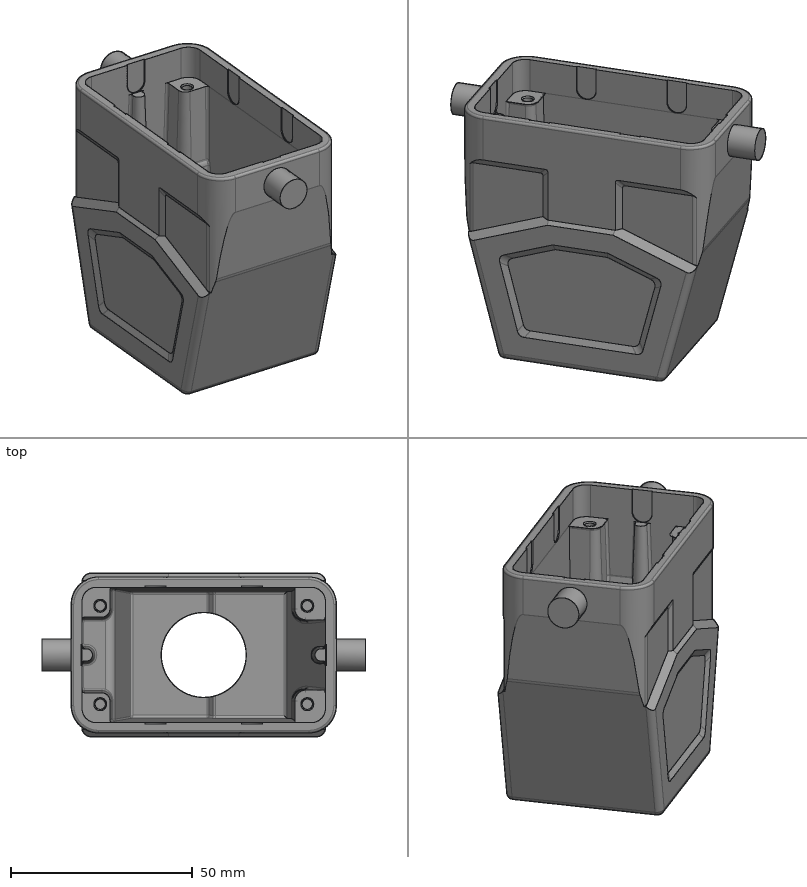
import cadquery as cq
import math

height = 72.0
collar_half_x = 36.5
collar_half_y = 21.45
collar_radius = 7.6
collar_base_z = 26.7
rim_rounding = 0.7

base_half_x = 24.1
kink_half_x = 34.5
kink_z = 40.05
kink_rounding = 5.3
collar_straight_z = 60.8
end_slope = (kink_half_x - base_half_x) / kink_z

block_half_y = 22.5
block_edge_radius = 2.05
block_base_radius = 1.8
roof_flat_half_x = 10.0
roof_z = 42.7
roof_slope = math.tan(math.radians(20.2))

recess_depth = 1.0
recess_bevel = 1.8
recess_edge_x = 9.9
recess_edge_z = 59.0
recess_plane_y = collar_half_y - recess_depth
recess_corner_radius = 1.8
recess_edge_rounding = 1.8

panel_depth = 1.0
panel_bevel = 1.8
panel_top_half_x = 8.0
panel_top_z = 37.0
panel_side_half_x = 24.0
panel_side_z = 31.15
panel_base_half_x = 18.0
panel_base_z = 7.7
panel_corner_radius = 4.45

pin_radius = 4.45
pin_z = 65.95
pin_tip_x = 44.5

mouth_half_x = 33.5
mouth_half_y = 18.6
mouth_radius = 3.8
ledge_z = 62.6
floor_half_y = 17.35
low_floor_z = 2.7
high_floor_z = 4.45
floor_step_x = (1.25, 2.85)
low_floor_end_x = -20.1
high_floor_end_x = 22.7
floor_rounding = 0.8
low_edges_z = 5.3
shelf_z = 40.9
shelf_edge_x = -24.65
shelf_rounding = 2.7
shelf_corner_rounding = 0.45
inner_rounding = 0.7
cable_hole_radius = 11.7

boss_edge_x = 25.8
boss_edge_y = 10.4
boss_radius = 2.2
boss_draft = 1.8
screw_x = 28.5
screw_y = 13.5
screw_radius = 1.4
screw_mouth_radius = 1.8
screw_depth = 13.35

rib_x = 32.3
rib_radius = 1.7
rib_draft = 2.0

slot_width = 5.7
slot_depth = 0.4
slot_x = 13.3

far = 2 * pin_tip_x


def both_long_sides(solid):
    """The solid together with its mirror image across the XZ plane."""
    return solid.union(solid.mirror("XZ"))


def near(x, y, z):
    """Selector for the edge whose middle is nearest to a point."""
    return cq.selectors.NearestToPointSelector((x, y, z))


def xz_prism(points, half_y):
    """Outline in X and Z, extruded to both sides of the XZ plane."""
    return cq.Workplane("XZ").polyline(points).close().extrude(half_y, both=True)


def xz_plane(y):
    """Sketch plane at -y, looking outward along -Y."""
    return cq.Workplane("XZ", origin=(0, -y, 0))


def make_collar():
    collar = (
        cq.Workplane("XY", origin=(0, 0, collar_base_z))
        .rect(2 * collar_half_x, 2 * collar_half_y)
        .extrude(height - collar_base_z)
        .edges("|Z").fillet(collar_radius)
    )
    bevel_angle = math.degrees(math.atan2(recess_bevel, recess_depth))
    for side in (-1, 1):
        recess = (
            xz_plane(collar_half_y)
            .moveTo(side * (recess_edge_x + far / 2), recess_edge_z - far / 2)
            .rect(far, far)
            .extrude(-recess_depth, taper=bevel_angle)
        )
        corner = near(side * recess_edge_x, -collar_half_y, recess_edge_z)
        recess = recess.edges("not #Y").edges(corner).fillet(recess_corner_radius)
        collar = collar.cut(both_long_sides(recess))
    crease_mid_z = (collar_base_z + recess_edge_z) / 2
    for side_x in (-1, 1):
        for side_y in (-1, 1):
            crease = near(side_x * collar_half_x, side_y * recess_plane_y, crease_mid_z)
            collar = collar.edges("|Z").edges(crease).fillet(recess_edge_rounding)
    collar = collar.faces(">Z").edges().fillet(rim_rounding)

    profile = [
        (-base_half_x, 0),
        (-kink_half_x, kink_z),
        (-collar_half_x, collar_straight_z),
        (-collar_half_x, height),
        (collar_half_x, height),
        (collar_half_x, collar_straight_z),
        (kink_half_x, kink_z),
        (base_half_x, 0),
    ]
    envelope = xz_prism(profile, far)
    for side in (-1, 1):
        kink = near(side * kink_half_x, 0, kink_z)
        envelope = envelope.edges(kink).fillet(kink_rounding)
    return collar.intersect(envelope)


def roof_outline(raise_by):
    """Region below the block's upper border, shifted up by raise_by."""
    end_drop = roof_slope * (far - roof_flat_half_x)
    return [
        (-far, -far),
        (-far, roof_z + raise_by - end_drop),
        (-roof_flat_half_x, roof_z + raise_by),
        (roof_flat_half_x, roof_z + raise_by),
        (far, roof_z + raise_by - end_drop),
        (far, -far),
    ]


def make_block():
    top_half_x = base_half_x + end_slope * height
    trapezoid = [(-base_half_x, 0), (-top_half_x, height), (top_half_x, height), (base_half_x, 0)]
    wedge = xz_prism(trapezoid, block_half_y)
    wedge = wedge.faces("<X or >X").edges("not |Y").fillet(block_edge_radius)
    wedge = wedge.faces("<Z").edges().fillet(block_base_radius)

    border = block_half_y - recess_plane_y
    below_roof = xz_prism(roof_outline(border), recess_plane_y)
    sloped_border = (
        xz_plane(recess_plane_y).polyline(roof_outline(border)).close().extrude(border, taper=45)
    )
    below_roof = below_roof.union(both_long_sides(sloped_border))
    return wedge.intersect(below_roof)


def make_panel():
    outline = [
        (-panel_base_half_x, panel_base_z),
        (-panel_side_half_x, panel_side_z),
        (-panel_top_half_x, panel_top_z),
        (panel_top_half_x, panel_top_z),
        (panel_side_half_x, panel_side_z),
        (panel_base_half_x, panel_base_z),
    ]
    bevel_angle = math.degrees(math.atan2(panel_bevel, panel_depth))
    panel = xz_plane(block_half_y).polyline(outline).close().extrude(-panel_depth, taper=bevel_angle)
    for x, z in outline:
        if abs(x) > panel_top_half_x:
            corner = near(x, -block_half_y, z)
            panel = panel.edges("not #Y").edges(corner).fillet(panel_corner_radius)
    return both_long_sides(panel)


def make_pins():
    pin = cq.Workplane("YZ").center(0, pin_z).circle(pin_radius).extrude(pin_tip_x, both=True)
    gap = cq.Workplane("XY").box(2 * mouth_half_x, far, 2 * far)
    return pin.cut(gap)


def make_bosses():
    bosses = cq.Workplane("XY")
    for side_x in (-1, 1):
        for side_y in (-1, 1):
            boss = (
                cq.Workplane("XY", origin=(0, 0, ledge_z))
                .sketch()
                .push([(side_x * (boss_edge_x + far / 2), side_y * (boss_edge_y + far / 2))])
                .rect(far, far)
                .reset()
                .vertices().fillet(boss_radius)
                .finalize()
                .extrude(-ledge_z, taper=-boss_draft)
            )
            bosses = bosses.add(boss)
    return bosses.combine()


def make_ribs():
    return (
        cq.Workplane("XY", origin=(0, 0, ledge_z))
        .pushPoints([(-rib_x, 0), (rib_x, 0)])
        .circle(rib_radius)
        .extrude(-ledge_z, taper=-rib_draft)
    )


def make_lower_cavity():
    slope_top_z = high_floor_z + (mouth_half_x - high_floor_end_x) / end_slope
    profile = [
        (-mouth_half_x, ledge_z),
        (-mouth_half_x, shelf_z),
        (shelf_edge_x, shelf_z),
        (low_floor_end_x, low_floor_z),
        (floor_step_x[0], low_floor_z),
        (floor_step_x[1], high_floor_z),
        (high_floor_end_x, high_floor_z),
        (mouth_half_x, slope_top_z),
        (mouth_half_x, ledge_z),
    ]
    cavity = xz_prism(profile, far)
    shelf_edge = near(shelf_edge_x, 0, shelf_z)
    cavity = cavity.edges(shelf_edge).fillet(shelf_rounding)
    section = [
        (-mouth_half_y, ledge_z),
        (-floor_half_y, low_floor_z),
        (floor_half_y, low_floor_z),
        (mouth_half_y, ledge_z),
    ]
    drafted = cq.Workplane("YZ").polyline(section).close().extrude(far, both=True)
    cavity = cavity.intersect(drafted)
    floor_edges = cq.selectors.BoxSelector((-far, -far, 0), (far, far, low_edges_z))
    cavity = cavity.edges(floor_edges).fillet(floor_rounding)
    cavity = cavity.cut(make_bosses()).cut(make_ribs())

    upper_mid_z = (ledge_z + slope_top_z) / 2
    boss_mid_x = (boss_edge_x + boss_radius + mouth_half_x) / 2
    boss_foot_z = slope_top_z - (mouth_half_x - boss_mid_x) / end_slope
    corners = [near(mouth_half_x, 0, slope_top_z)]
    for side_y in (-1, 1):
        corners.append(near(boss_mid_x, side_y * boss_edge_y, boss_foot_z))
        for side_x in (-1, 1):
            corners.append(near(side_x * boss_edge_x, side_y * mouth_half_y, upper_mid_z))
            corners.append(near(side_x * mouth_half_x, side_y * boss_edge_y, upper_mid_z))
            corners.append(near(side_x * mouth_half_x, side_y * rib_radius, upper_mid_z))
    corner_edges = [cavity.edges(corner).val() for corner in corners]
    cavity = cavity.newObject(corner_edges).fillet(inner_rounding)
    shelf_border = cq.selectors.BoxSelector(
        (-far, -far, shelf_z - inner_rounding / 2),
        (-boss_edge_x - boss_radius, far, shelf_z + inner_rounding / 2),
    )
    return cavity.edges(shelf_border).fillet(shelf_corner_rounding)


def make_slots(plane, wall_distance):
    """Pair of round-bottomed slots in two opposite mouth walls."""
    radius = slot_width / 2
    return (
        cq.Workplane(plane)
        .moveTo(-radius, height)
        .lineTo(-radius, ledge_z + radius)
        .threePointArc((0, ledge_z), (radius, ledge_z + radius))
        .lineTo(radius, height)
        .close()
        .extrude(wall_distance + slot_depth, both=True)
    )


def make_mouth():
    mouth = (
        cq.Workplane("XY", origin=(0, 0, ledge_z))
        .rect(2 * mouth_half_x, 2 * mouth_half_y)
        .extrude(height - ledge_z)
        .edges("|Z").fillet(mouth_radius)
    )
    for x in (-slot_x, slot_x):
        mouth = mouth.union(make_slots(cq.Plane.named("XZ", origin=(x, 0, 0)), mouth_half_y))
    return mouth.union(make_slots(cq.Plane.named("YZ"), mouth_half_x))


def make_screw_holes():
    spots = [(x, y) for x in (-screw_x, screw_x) for y in (-screw_y, screw_y)]
    top = cq.Workplane("XY", origin=(0, 0, ledge_z)).pushPoints(spots)
    holes = top.circle(screw_radius).extrude(-screw_depth)
    mouths = top.circle(screw_mouth_radius).extrude(-(screw_mouth_radius - screw_radius), taper=45)
    return holes.union(mouths)


cable_hole = cq.Workplane("XY").circle(cable_hole_radius).extrude(2 * high_floor_z)

result = (
    make_collar()
    .union(make_block())
    .union(make_pins())
    .cut(make_panel())
    .cut(make_lower_cavity())
    .cut(make_mouth())
    .cut(make_screw_holes())
    .cut(cable_hole)
)